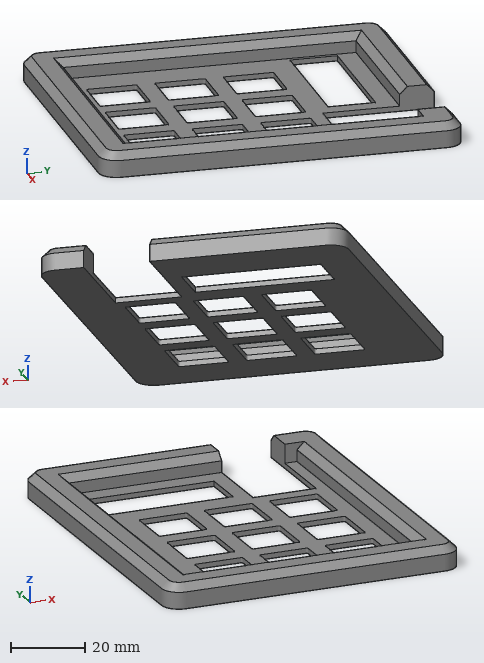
import cadquery as cq

length = 101.0
width = 86.0
height = 7.0
corner_radius = 5.0
outer_chamfer = 2.1

recess_width = 66.9
recess_length = 81.7
plate_thickness = 1.5
inner_chamfer = 2.1

key_size = 14.0
key_pitch = 19.1
key_count = 3
key_corner_radius = 0.5
key_grid_x = 2.3
key_grid_y = -10.9

window_width = 39.0
window_length = 13.2
window_left = -32.2
window_bottom = 22.1

slot_left = 11.4
slot_width = 18.5
slot_bottom = 19.4


def box_between(x_min, x_max, y_min, y_max, z_min, z_max):
    """Box given by its limits along each axis."""
    size = (x_max - x_min, y_max - y_min, z_max - z_min)
    return cq.Workplane("XY").box(*size, centered=False).translate((x_min, y_min, z_min))


def make_frame():
    """Block with rounded vertical corners and a chamfered top rim."""
    block = cq.Workplane("XY").box(width, length, height, centered=(True, True, False))
    return block.edges("|Z").fillet(corner_radius).faces(">Z").chamfer(outer_chamfer)


def make_recess():
    """Straight recess and the bevel flaring out at its top edge."""
    pocket = (
        cq.Workplane("XY", origin=(0, 0, plate_thickness))
        .rect(recess_width, recess_length)
        .extrude(height - plate_thickness)
    )
    bevel = (
        cq.Workplane("XY", origin=(0, 0, height - inner_chamfer))
        .rect(recess_width, recess_length)
        .workplane(offset=inner_chamfer)
        .rect(recess_width + 2 * inner_chamfer, recess_length + 2 * inner_chamfer)
        .loft(ruled=True)
    )
    square_edge = box_between(slot_left + slot_width, width / 2, recess_length / 2, length / 2, 0, height)
    return pocket.union(bevel.cut(square_edge))


def make_key_openings():
    """Grid of square openings through the plate."""
    return (
        cq.Workplane("XY", origin=(key_grid_x, key_grid_y, 0))
        .rarray(key_pitch, key_pitch, key_count, key_count)
        .rect(key_size, key_size)
        .extrude(plate_thickness)
        .edges("|Z")
        .fillet(key_corner_radius)
    )


def make_window():
    """Display window through the plate."""
    return box_between(
        window_left,
        window_left + window_width,
        window_bottom,
        window_bottom + window_length,
        0,
        plate_thickness,
    )


def make_slot():
    """Full-height slot through the plate and the back wall."""
    return box_between(slot_left, slot_left + slot_width, slot_bottom, length / 2, 0, height)


result = (
    make_frame()
    .cut(make_recess())
    .cut(make_key_openings())
    .cut(make_window())
    .cut(make_slot())
)